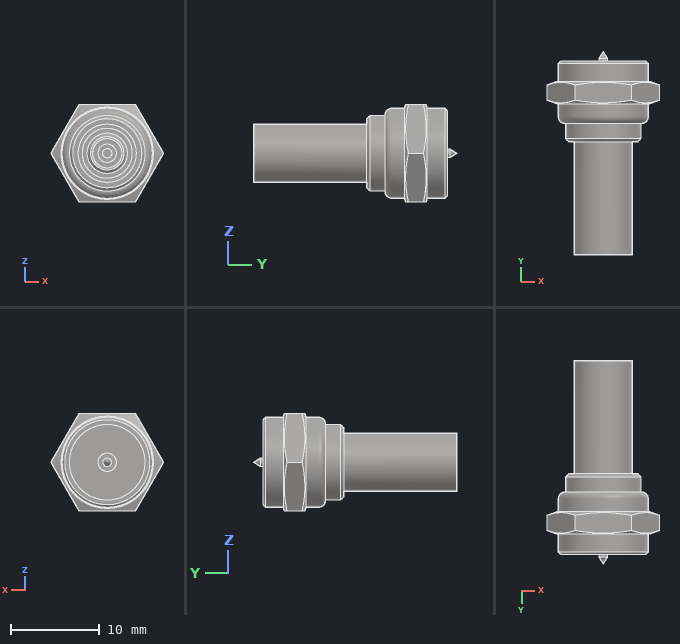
import cadquery as cq
import math

total_length = 22.9

nut_radius = 5.08
nut_length = 7.05
pin_protrusion = 1.05
nut_front_y = total_length - pin_protrusion
nut_rear_y = nut_front_y - nut_length
nut_front_chamfer = 0.3
nut_rear_fillet = 0.78

hex_across_corners = 12.7
hex_corner_radius = hex_across_corners / 2
hex_length = 2.55
hex_setback = 2.3
hex_front_y = nut_front_y - hex_setback
hex_rear_y = hex_front_y - hex_length
hex_bevel_start_radius = 5.2
hex_bevel_angle = 20.0
hex_bevel_depth = (hex_corner_radius - hex_bevel_start_radius) * math.tan(math.radians(hex_bevel_angle))

body_radius = 4.25
body_front_y = hex_rear_y
body_rear_projection = 2.05
body_rear_y = nut_rear_y - body_rear_projection
body_rear_chamfer = 0.37
sleeve_radius = 3.27
sleeve_bore_radius = 2.82
post_radius = 2.27
post_bore_radius = 1.65
post_chamfer = 0.4
post_rear_y = body_rear_y / 2

pin_barrel_radius = 1.03
pin_bore_radius = 0.53
pin_bore_depth = 2.75
pin_tip_radius = 0.48
pin_point_length = 0.75
pin_point_base_y = total_length - pin_point_length


def revolve_about_y(half_profile):
    """Turn a closed half profile in the XY plane, drawn from (radius, y) points, about the Y axis."""
    return half_profile.close().revolve(360, (0, 0, 0), (0, 1, 0))


def cylinder(radius, start_y, end_y):
    """Solid cylinder on the Y axis between two Y positions."""
    return revolve_about_y(
        cq.Workplane("XY").moveTo(0, start_y).lineTo(radius, start_y).lineTo(radius, end_y).lineTo(0, end_y)
    )


def make_bevelled_hexagon():
    """Hexagonal prism with corners on +X and -X, both ends bevelled by a shallow cone."""
    hexagon = (
        cq.Workplane("XZ", origin=(0, hex_front_y, 0))
        .polygon(6, hex_across_corners)
        .extrude(hex_length)
    )
    bevel_envelope = revolve_about_y(
        cq.Workplane("XY")
        .moveTo(0, hex_rear_y)
        .lineTo(hex_bevel_start_radius, hex_rear_y)
        .lineTo(hex_corner_radius, hex_rear_y + hex_bevel_depth)
        .lineTo(hex_corner_radius, hex_front_y - hex_bevel_depth)
        .lineTo(hex_bevel_start_radius, hex_front_y)
        .lineTo(0, hex_front_y)
    )
    return hexagon.intersect(bevel_envelope)


def make_nut():
    """Hexagonal coupling nut: chamfered front rim, rounded rear rim, bored through to fit the body."""
    barrel = cylinder(nut_radius, nut_rear_y, nut_front_y)
    barrel = barrel.faces(">Y").edges().chamfer(nut_front_chamfer)
    barrel = barrel.faces("<Y").edges().fillet(nut_rear_fillet)
    bore = cylinder(body_radius, nut_rear_y, nut_front_y)
    return barrel.union(make_bevelled_hexagon()).cut(bore)


def make_body():
    """Stepped body: collar inside the nut, thin crimp sleeve, and a hollow cable post inside the sleeve."""
    collar = cylinder(body_radius, body_rear_y, body_front_y)
    collar = collar.faces("<Y").edges().chamfer(body_rear_chamfer)

    sleeve = cylinder(sleeve_radius, 0, body_rear_y)
    sleeve = sleeve.cut(cylinder(sleeve_bore_radius, 0, body_rear_y))

    post = cylinder(post_radius, post_rear_y, body_rear_y)
    post = post.faces("<Y").edges().chamfer(post_chamfer)
    post = post.cut(cylinder(post_bore_radius, post_rear_y, body_rear_y))

    pin_hole = cylinder(pin_barrel_radius, body_rear_y, body_front_y)
    return collar.union(sleeve).union(post).cut(pin_hole)


def make_pin():
    """Pointed centre pin whose thick barrel fills the hole in the body and has a blind wire bore."""
    bore_end_y = body_rear_y + pin_bore_depth
    return revolve_about_y(
        cq.Workplane("XY")
        .moveTo(0, bore_end_y)
        .lineTo(pin_bore_radius, bore_end_y)
        .lineTo(pin_bore_radius, body_rear_y)
        .lineTo(pin_barrel_radius, body_rear_y)
        .lineTo(pin_barrel_radius, body_front_y)
        .lineTo(pin_tip_radius, body_front_y)
        .lineTo(pin_tip_radius, pin_point_base_y)
        .lineTo(0, total_length)
    )


nut = make_nut()
body = make_body()
pin = make_pin()

result = cq.Compound.makeCompound([nut.solids().val(), body.solids().val(), pin.val()])